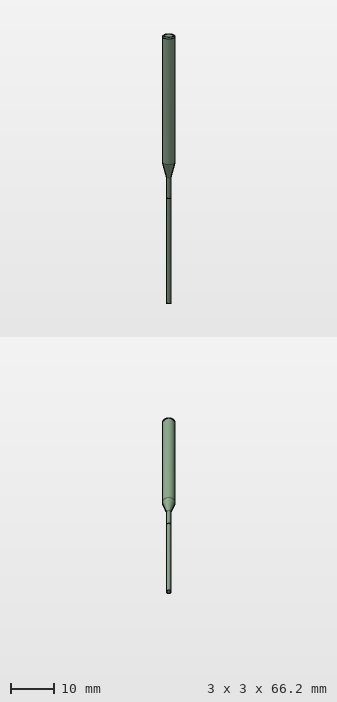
import cadquery as cq
import math

SHANK_DIAMETER = 3.0
DRILL_DIAMETER = 1.05
POINT_ANGLE = 140.0
CUTTING_LENGTH = 26.0
NECK_LENGTH = 5.0
TAPER_LENGTH = 3.7
HOLDER_LENGTH = 40.0
END_CHAMFER = 0.3

shank_radius = SHANK_DIAMETER / 2
drill_radius = DRILL_DIAMETER / 2
point_height = drill_radius / math.tan(math.radians(POINT_ANGLE / 2))

cutting_top = point_height + CUTTING_LENGTH
taper_bottom = cutting_top + NECK_LENGTH
shank_bottom = taper_bottom + TAPER_LENGTH
shank_top = cutting_top + HOLDER_LENGTH


def turned_body(profile):
    """Revolve a closed (radius, height) outline about the Z axis."""
    return cq.Workplane("XZ").polyline(profile).close().revolve(360, (0, 0, 0), (0, 1, 0))


def make_cutting_part():
    """Plain cutting cylinder ending in the conical drill point."""
    return turned_body([
        (0, 0),
        (drill_radius, point_height),
        (drill_radius, cutting_top),
        (0, cutting_top),
    ])


def make_shank():
    """Neck, taper and chamfered clamping cylinder, standing on the cutting part."""
    return turned_body([
        (0, cutting_top),
        (drill_radius, cutting_top),
        (drill_radius, taper_bottom),
        (shank_radius, shank_bottom),
        (shank_radius, shank_top - END_CHAMFER),
        (shank_radius - END_CHAMFER, shank_top),
        (0, shank_top),
    ])


cutting_part = make_cutting_part()
shank = make_shank()

result = cq.Compound.makeCompound([cutting_part.val(), shank.val()])